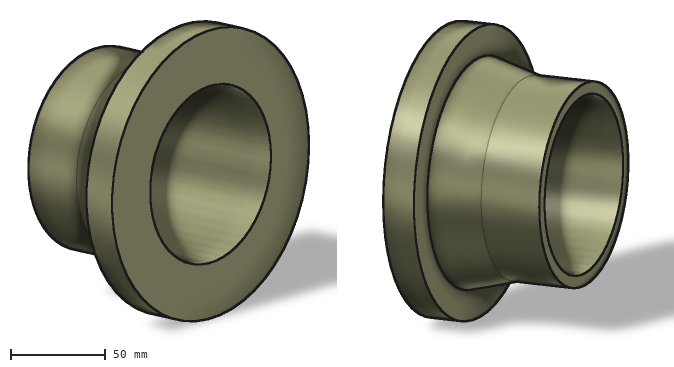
import cadquery as cq

flange_diameter = 158.0
pipe_diameter = 110.0
bore_diameter = 96.9
hub_diameter = 124.8

total_length = 80.0
flange_thickness = 18.0
hub_length = 28.0

flange_start = total_length - flange_thickness
hub_start = flange_start - hub_length

half_section = (
    cq.Workplane("XY")
    .moveTo(0, bore_diameter / 2)
    .lineTo(0, pipe_diameter / 2)
    .lineTo(hub_start, pipe_diameter / 2)
    .lineTo(flange_start, hub_diameter / 2)
    .lineTo(flange_start, flange_diameter / 2)
    .lineTo(total_length, flange_diameter / 2)
    .lineTo(total_length, bore_diameter / 2)
    .close()
)

result = half_section.revolve(360, (0, 0, 0), (1, 0, 0))